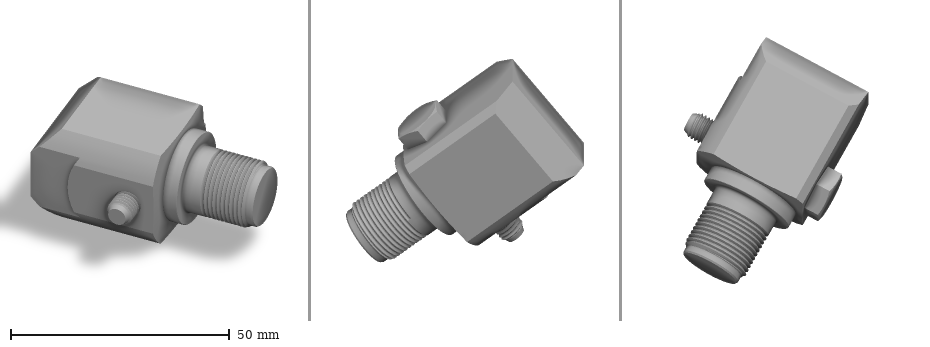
import cadquery as cq
import math


housing_length = 31.7
housing_height = 25.15
back_y = 12.45
boss_face_y = -15.15
flat_face_y = -14.2
nose_radius = 16.55
back_chamfer = 1.75
end_chamfer = 6.3
end_cone_angle = 6.0
boss_radius = 14.95
bolt_hole_diameter = 6.75

bolt_x = 24.7
bolt_diameter = 6.35
bolt_root_diameter = 5.35
bolt_thread_ten_turns = 9.05
bolt_tip_y = -20.85
bolt_tip_length = 1.15
bolt_tip_diameter = 4.35
bolt_thread_start_y = -11.7
hex_width = 11.05
hex_corner_angle = 30.0
hex_top_y = 16.3
hex_chamfer_diameter = 10.7
hex_chamfer_angle = 20.0

overall_length = 52.4
collar_diameter = 22.05
collar_length = 3.5
collar_chamfer = 0.1
neck_diameter = 15.9
neck_fillet = 0.4
connector_thread_ten_turns = 10.6
connector_root_diameter = 14.55
connector_thread_start_x = 39.35
pilot_diameter = 14.25
pilot_length = 1.8
pilot_chamfer_length = 0.4
pilot_chamfer_depth = 0.25

cut_clearance = 0.5

crest_share = 0.125
groove_overlap = 0.025
flank_angle = 30.0
flank_slope = math.tan(math.radians(flank_angle))
bolt_pitch = bolt_thread_ten_turns / 10
connector_pitch = connector_thread_ten_turns / 10


def thread_groove(pitch, length, crest_diameter, root_diameter):
    """Right-hand V groove around the Z axis, from Z = 0 upward, starting on the +X side."""
    crest_radius = crest_diameter / 2
    root_radius = root_diameter / 2
    outer_radius = crest_radius + groove_overlap
    crest_half = pitch * (1 - crest_share) / 2
    outer_half = crest_half + groove_overlap * flank_slope
    root_half = crest_half - (crest_radius - root_radius) * flank_slope
    helix = cq.Wire.makeHelix(pitch, length, root_radius)
    return (
        cq.Workplane("XZ")
        .polyline([
            (root_radius, -root_half),
            (outer_radius, -outer_half),
            (outer_radius, outer_half),
            (root_radius, root_half),
        ])
        .close()
        .sweep(cq.Workplane(helix), isFrenet=True)
    )


def housing_block():
    """Block along X with chamfered back edges and rounded front edges."""
    top = housing_height / 2
    nose_top_y = -math.sqrt(nose_radius**2 - top**2)
    boss_half_height = math.sqrt(nose_radius**2 - boss_face_y**2)
    middle_angle = (math.atan2(top, nose_top_y) + math.atan2(boss_half_height, boss_face_y)) / 2
    middle_y = nose_radius * math.cos(middle_angle)
    middle_z = nose_radius * math.sin(middle_angle)
    return (
        cq.Workplane("YZ")
        .moveTo(nose_top_y, top)
        .threePointArc((middle_y, middle_z), (boss_face_y, boss_half_height))
        .lineTo(boss_face_y, -boss_half_height)
        .threePointArc((middle_y, -middle_z), (nose_top_y, -top))
        .lineTo(back_y - back_chamfer, -top)
        .lineTo(back_y, -top + back_chamfer)
        .lineTo(back_y, top - back_chamfer)
        .lineTo(back_y - back_chamfer, top)
        .close()
        .extrude(housing_length)
    )


def end_cone_cut():
    """Ring that bevels the open end into a shallow cone around the collar."""
    inner_radius = collar_diameter / 2
    outer_radius = nose_radius + cut_clearance
    cone_depth = (outer_radius - inner_radius) * math.tan(math.radians(end_cone_angle))
    return (
        cq.Workplane("XY")
        .polyline([
            (housing_length, inner_radius),
            (housing_length, outer_radius),
            (housing_length - cone_depth, outer_radius),
        ])
        .close()
        .revolve(360, (0, 0, 0), (1, 0, 0))
    )


def front_flat_cut():
    """Thin slab that lowers the front face everywhere outside the round boss."""
    step = flat_face_y - boss_face_y
    front = cq.Workplane("XZ", origin=(bolt_x, flat_face_y, 0))
    slab = front.rect(2 * housing_length, housing_height).extrude(step)
    boss = front.circle(boss_radius).extrude(step)
    return slab.cut(boss)


def make_housing():
    """Block with its end shaping and a plain clearance hole for the bolt."""
    bolt_hole = (
        cq.Workplane("XZ", origin=(bolt_x, back_y, 0))
        .circle(bolt_hole_diameter / 2)
        .extrude(back_y - boss_face_y)
    )
    return (
        housing_block()
        .faces("<X").edges("|Y").chamfer(end_chamfer)
        .cut(end_cone_cut())
        .cut(front_flat_cut())
        .cut(bolt_hole)
    )


def hex_head():
    """Hexagon with flats facing +X and -X, its top corners trimmed by a cone."""
    height = hex_top_y - back_y
    corner_diameter = hex_width / math.cos(math.radians(hex_corner_angle))
    trim_radius = corner_diameter / 2 + cut_clearance
    top_radius = hex_chamfer_diameter / 2
    trim_depth = (trim_radius - top_radius) * math.tan(math.radians(hex_chamfer_angle))
    trimmed_cone = (
        cq.Workplane("XY")
        .polyline([
            (0, 0),
            (trim_radius, 0),
            (trim_radius, height - trim_depth),
            (top_radius, height),
            (0, height),
        ])
        .close()
        .revolve(360, (0, 0, 0), (0, 1, 0))
        .translate((0, back_y, 0))
    )
    return (
        cq.Workplane("XZ", origin=(0, hex_top_y, 0))
        .transformed(rotate=(0, 0, hex_corner_angle))
        .polygon(6, corner_diameter)
        .extrude(height)
        .intersect(trimmed_cone)
    )


def bolt_shank():
    """Round shank down from the head, with a tapered tip."""
    radius = bolt_diameter / 2
    tip_start_y = bolt_tip_y + bolt_tip_length
    tip_root_radius = bolt_root_diameter / 2
    shoulder = radius - tip_root_radius
    return (
        cq.Workplane("XY")
        .polyline([
            (0, back_y),
            (radius, back_y),
            (radius, tip_start_y + shoulder),
            (tip_root_radius, tip_start_y),
            (bolt_tip_diameter / 2, bolt_tip_y),
            (0, bolt_tip_y),
        ])
        .close()
        .revolve(360, (0, 0, 0), (0, 1, 0))
    )


def make_bolt():
    """Hex-head bolt through the housing, seated on the back face and threaded at its tip."""
    groove_length = bolt_thread_start_y - (bolt_tip_y + bolt_tip_length / 2)
    groove = (
        thread_groove(bolt_pitch, groove_length, bolt_diameter, bolt_root_diameter)
        .rotate((0, 0, 0), (1, 0, 0), 90)
        .translate((0, bolt_thread_start_y, 0))
    )
    return bolt_shank().cut(groove).union(hex_head()).translate((bolt_x, 0, 0))


def connector_blank():
    """Turned collar and full-diameter neck, before threading."""
    collar_end_x = housing_length + collar_length
    collar_radius = collar_diameter / 2
    neck_radius = neck_diameter / 2
    return (
        cq.Workplane("XY")
        .moveTo(housing_length, 0)
        .lineTo(housing_length, collar_radius - collar_chamfer)
        .lineTo(housing_length + collar_chamfer, collar_radius)
        .lineTo(collar_end_x - collar_chamfer, collar_radius)
        .lineTo(collar_end_x, collar_radius - collar_chamfer)
        .lineTo(collar_end_x, neck_radius + neck_fillet)
        .radiusArc((collar_end_x + neck_fillet, neck_radius), -neck_fillet)
        .lineTo(overall_length, neck_radius)
        .lineTo(overall_length, 0)
        .close()
        .revolve(360, (0, 0, 0), (1, 0, 0))
    )


def pilot_cut():
    """Ring that leaves the plain pilot end, its end chamfer and the thread's tapered lead-in."""
    outer_radius = neck_diameter / 2 + cut_clearance
    pilot_radius = pilot_diameter / 2
    pilot_start_x = overall_length - pilot_length
    return (
        cq.Workplane("XY")
        .polyline([
            (pilot_start_x - (outer_radius - pilot_radius), outer_radius),
            (pilot_start_x, pilot_radius),
            (overall_length - pilot_chamfer_length, pilot_radius),
            (overall_length, pilot_radius - pilot_chamfer_depth),
            (overall_length, outer_radius),
        ])
        .close()
        .revolve(360, (0, 0, 0), (1, 0, 0))
    )


def make_connector():
    """Collar and neck, threaded before the pilot is turned down so that the groove ends there."""
    groove_length = overall_length - pilot_length - connector_thread_start_x
    groove = (
        thread_groove(connector_pitch, groove_length, neck_diameter, connector_root_diameter)
        .rotate((0, 0, 0), (0, 1, 0), 90)
        .translate((connector_thread_start_x, 0, 0))
    )
    return connector_blank().cut(groove).cut(pilot_cut())


housing = make_housing()
bolt = make_bolt()
connector = make_connector()

result = cq.Compound.makeCompound([housing.val(), bolt.val(), connector.val()])